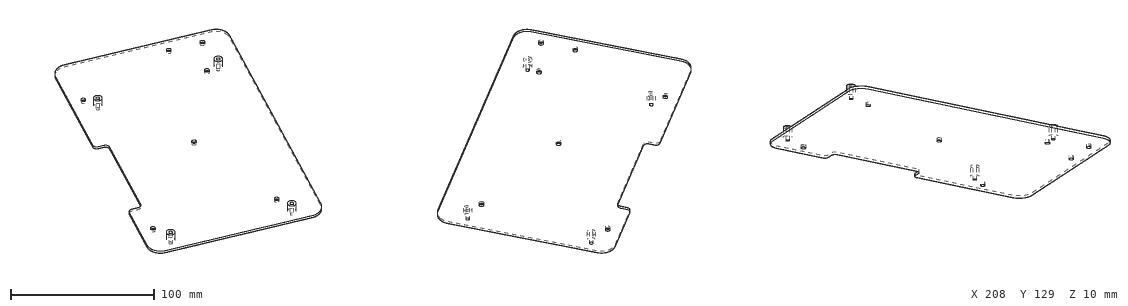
import cadquery as cq

LENGTH = 208.0
WIDTH = 129.0
TOTAL_HEIGHT = 10.0
PLATE_THICKNESS = 2.0
CORNER_RADIUS = 10.0

NOTCH_LEFT = 89.2
NOTCH_RIGHT = 159.0
NOTCH_DEPTH = 10.5
NOTCH_RADIUS = 3.0

HOLE_DIAMETER = 3.3
SIDE_HOLE_X = 10.0
SIDE_HOLES_Y = (83.8, 108.8)
MOUNT_HOLES_X = (39.0, 182.8)
MOUNT_HOLES_Y = (10.0, 101.7)
CENTRE_HOLE = (106.7, 67.8)

STANDOFF_DIAMETER = 6.0
STANDOFF_BORE = 2.5
STANDOFF_FILLET = 1.0
STANDOFF_RIGHT_X = 199.5
STANDOFF_FRONT_Y = 17.0
STANDOFFS = [
    (MOUNT_HOLES_X[0], 110.0),
    (49.5, STANDOFF_FRONT_Y),
    (STANDOFF_RIGHT_X, 107.0),
    (STANDOFF_RIGHT_X, STANDOFF_FRONT_Y),
]


def make_plate():
    """Rounded plate with a rounded notch in its front edge."""
    plate = (
        cq.Workplane("XY")
        .box(LENGTH, WIDTH, PLATE_THICKNESS, centered=False)
        .edges("|Z")
        .fillet(CORNER_RADIUS)
    )
    notch = cq.Workplane("XY").box(
        NOTCH_RIGHT - NOTCH_LEFT, NOTCH_DEPTH, PLATE_THICKNESS, centered=False
    ).translate((NOTCH_LEFT, 0, 0))
    notch_corners = cq.selectors.BoxSelector(
        (NOTCH_LEFT - NOTCH_RADIUS, -NOTCH_RADIUS, -PLATE_THICKNESS),
        (NOTCH_RIGHT + NOTCH_RADIUS, NOTCH_DEPTH + NOTCH_RADIUS, 2 * PLATE_THICKNESS),
    )
    return plate.cut(notch).edges("|Z").edges(notch_corners).fillet(NOTCH_RADIUS)


def add_standoffs(plate):
    """Cylindrical posts with a fillet around each foot and a through bore."""
    posts = (
        cq.Workplane("XY")
        .pushPoints(STANDOFFS)
        .circle(STANDOFF_DIAMETER / 2)
        .extrude(TOTAL_HEIGHT)
    )
    body = plate.union(posts)
    plate_top = body.faces("+Z").faces("<Z").val()
    feet = [edge for wire in plate_top.innerWires() for edge in wire.Edges()]
    body = body.newObject(feet).fillet(STANDOFF_FILLET)
    return drill(body, STANDOFFS, STANDOFF_BORE)


def drill(body, points, diameter):
    """Cut vertical holes through the full height of the body."""
    drills = cq.Workplane("XY").pushPoints(points).circle(diameter / 2).extrude(TOTAL_HEIGHT)
    return body.cut(drills)


plate_holes = [CENTRE_HOLE]
plate_holes += [(SIDE_HOLE_X, y) for y in SIDE_HOLES_Y]
plate_holes += [(x, y) for x in MOUNT_HOLES_X for y in MOUNT_HOLES_Y]

result = drill(add_standoffs(make_plate()), plate_holes, HOLE_DIAMETER)